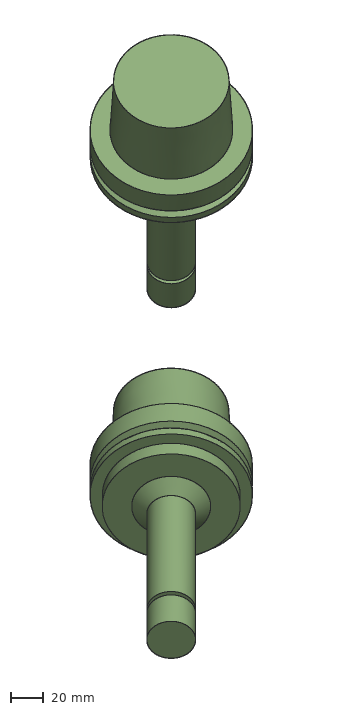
import cadquery as cq


total_length = 215.0
head_length = 25.0
neck_length = 3.2
taper_length = 50.0
flange_thickness = 28.8
collar_thickness = 10.0
cone_height = 7.3

shank_diameter = 30.0
neck_diameter = 23.0
cone_diameter = 48.5
collar_diameter = 85.0
flange_diameter = 100.0
taper_base_diameter = 75.7
taper_tip_diameter = 71.2

groove_floor_diameter = 92.0
groove_center_depth = 20.0
groove_mouth_width = 6.7
groove_floor_width = 3.2

neck_top = head_length + neck_length
flange_top = total_length - taper_length
flange_bottom = flange_top - flange_thickness
collar_bottom = flange_bottom - collar_thickness
cone_bottom = collar_bottom - cone_height
groove_center = flange_top - groove_center_depth


def cylinder(diameter, bottom, top):
    """Cylinder on the Z axis between two heights."""
    return cq.Workplane("XY").workplane(offset=bottom).circle(diameter / 2).extrude(top - bottom)


def cone(bottom_diameter, top_diameter, bottom, top):
    """Truncated cone on the Z axis between two heights."""
    return (
        cq.Workplane("XY")
        .workplane(offset=bottom)
        .circle(bottom_diameter / 2)
        .workplane(offset=top - bottom)
        .circle(top_diameter / 2)
        .loft(ruled=True)
    )


def make_flange():
    """Flange disc with a flared gripper groove."""
    outer_radius = flange_diameter / 2
    floor_radius = groove_floor_diameter / 2
    half_mouth = groove_mouth_width / 2
    half_floor = groove_floor_width / 2
    return (
        cq.Workplane("XZ")
        .moveTo(0, flange_bottom)
        .lineTo(outer_radius, flange_bottom)
        .lineTo(outer_radius, groove_center - half_mouth)
        .lineTo(floor_radius, groove_center - half_floor)
        .lineTo(floor_radius, groove_center + half_floor)
        .lineTo(outer_radius, groove_center + half_mouth)
        .lineTo(outer_radius, flange_top)
        .lineTo(0, flange_top)
        .close()
        .revolve(360, (0, 0, 0), (0, 1, 0))
    )


def make_holder():
    """Taper, flange, collar, cone, shank and neck as one solid."""
    taper = cone(taper_base_diameter, taper_tip_diameter, flange_top, total_length)
    collar = cylinder(collar_diameter, collar_bottom, flange_bottom)
    shoulder_cone = cone(shank_diameter, cone_diameter, cone_bottom, collar_bottom)
    shank = cylinder(shank_diameter, neck_top, cone_bottom)
    neck = cylinder(neck_diameter, head_length, neck_top)
    return make_flange().union(taper).union(collar).union(shoulder_cone).union(shank).union(neck)


def make_head():
    """Plain cylindrical head that butts against the neck of the holder."""
    return cylinder(shank_diameter, 0, head_length)


holder = make_holder()
head = make_head()

result = cq.Compound.makeCompound([holder.val(), head.val()])